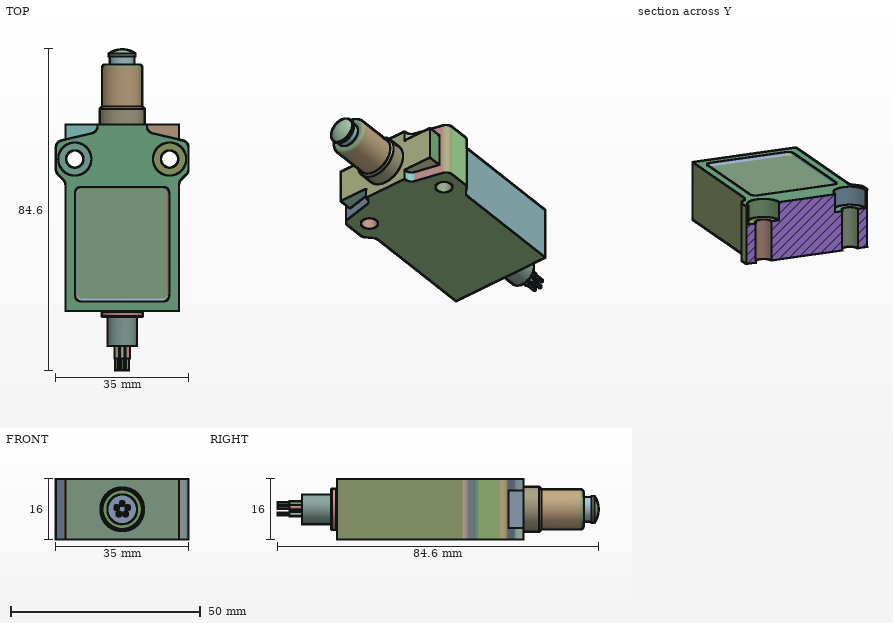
import cadquery as cq
import math

BODY_WIDTH = 29.9
BODY_LENGTH = 49.1
BODY_HEIGHT = 16.0
EAR_WIDTH = 35.0
NECK_WIDTH = 12.9
SHOULDER_HEIGHT = 9.9
SHOULDER_START = 38.1
CORNER_RADIUS = 2.0

EAR_SLOPE = math.radians(13)
EAR_SLOPE_Y = 45.2
EAR_LOWER_Y = 34.0

HOLE_SPACING = 24.95
HOLE_Y = 40.0
HOLE_DIAMETER = 4.5
COUNTERBORE_DIAMETER = 8.7
COUNTERBORE_DEPTH = 5.0

POCKET_WIDTH = 24.8
POCKET_START = 2.5
POCKET_END = 32.65
POCKET_DEPTH = 0.85
POCKET_CORNER_RADIUS = 1.5
POCKET_FLOOR_ROUND = 0.8

COLLAR_DIAMETER = 11.9
COLLAR_END = 53.8
COLLAR_CHAMFER = 0.6
BARREL_DIAMETER = 10.65
BARREL_END = 64.95
BARREL_ROUND = 0.9
STEM_DIAMETER = 6.6
HEAD_DIAMETER = 7.1
HEAD_START = 67.0
DOME_START = 67.75
PLUNGER_TIP = 68.9

RECESS_DIAMETER = 11.5
RECESS_DEPTH = 0.25
FLANGE_DIAMETER = 10.9
FLANGE_LENGTH = 1.5
FLANGE_CHAMFER = 0.25
CABLE_DIAMETER = 7.9
CABLE_LENGTH = 9.2
WIRE_COUNT = 5
WIRE_CIRCLE_RADIUS = 1.5
WIRE_DIAMETER = 1.3
WIRE_END = 12.5
CONDUCTOR_DIAMETER = 0.79
CONDUCTOR_END = 84.6 - PLUNGER_TIP


def cylinder_y(diameter, start, end, x=0, z=0):
    """Cylinder along Y between two Y positions."""
    base = cq.Workplane("XZ", origin=(x, start, z))
    return base.circle(diameter / 2).extrude(start - end)


def make_body():
    half_body = BODY_WIDTH / 2
    half_ear = EAR_WIDTH / 2
    half_neck = NECK_WIDTH / 2
    slope = math.tan(EAR_SLOPE)
    neck_corner = (half_neck, EAR_SLOPE_Y + slope * (half_body - half_neck))
    ear_top = (half_ear, EAR_SLOPE_Y - slope * (half_ear - half_body))
    ear_bottom = (half_ear, EAR_LOWER_Y + half_ear - half_body)
    ear_root = (half_body, EAR_LOWER_Y)
    rounded = [ear_root, ear_bottom, ear_top, neck_corner]
    right = [(half_body, 0)] + rounded + [(half_neck, BODY_LENGTH)]
    left = [(-x, y) for x, y in reversed(right)]

    body = (
        cq.Workplane("XY", origin=(0, 0, -BODY_HEIGHT / 2))
        .polyline(right + left).close().extrude(BODY_HEIGHT)
    )
    for x, y in rounded:
        for side in (-1, 1):
            corner = cq.selectors.NearestToPointSelector((side * x, y, 0))
            body = body.edges("|Z").edges(corner).fillet(CORNER_RADIUS)

    shoulder = cq.Workplane("XY").box(
        BODY_WIDTH, BODY_LENGTH - SHOULDER_START, SHOULDER_HEIGHT
    ).translate((0, (BODY_LENGTH + SHOULDER_START) / 2, 0))
    return body.union(shoulder)


def cut_mounting_holes(body):
    return (
        body.faces(">Z").workplane(origin=(0, HOLE_Y, 0))
        .pushPoints([(-HOLE_SPACING / 2, 0), (HOLE_SPACING / 2, 0)])
        .cboreHole(HOLE_DIAMETER, COUNTERBORE_DIAMETER, COUNTERBORE_DEPTH)
    )


def make_pocket():
    outline = (
        cq.Sketch().rect(POCKET_WIDTH, POCKET_END - POCKET_START)
        .vertices().fillet(POCKET_CORNER_RADIUS)
    )
    center_y = (POCKET_START + POCKET_END) / 2
    return (
        cq.Workplane("XY", origin=(0, center_y, BODY_HEIGHT / 2))
        .placeSketch(outline).extrude(-POCKET_DEPTH)
        .faces("<Z").edges().fillet(POCKET_FLOOR_ROUND)
    )


def make_plunger():
    collar = cylinder_y(COLLAR_DIAMETER, BODY_LENGTH, COLLAR_END)
    collar = collar.faces(">Y").chamfer(COLLAR_CHAMFER)
    barrel = cylinder_y(BARREL_DIAMETER, BODY_LENGTH, BARREL_END)
    barrel = barrel.faces(">Y").edges().fillet(BARREL_ROUND)
    stem = cylinder_y(STEM_DIAMETER, BODY_LENGTH, HEAD_START)

    head_radius = HEAD_DIAMETER / 2
    dome_height = PLUNGER_TIP - DOME_START
    dome_radius = (head_radius**2 + dome_height**2) / (2 * dome_height)
    head = (
        cq.Workplane("XY").moveTo(0, HEAD_START)
        .lineTo(head_radius, HEAD_START)
        .lineTo(head_radius, DOME_START)
        .radiusArc((0, PLUNGER_TIP), -dome_radius)
        .close().revolve(360, (0, 0, 0), (0, 1, 0))
    )
    return collar.union(barrel).union(stem).union(head)


def make_cable_outlet():
    flange = cylinder_y(FLANGE_DIAMETER, 0, -FLANGE_LENGTH)
    flange = flange.faces("<Y or >Y").chamfer(FLANGE_CHAMFER)
    seat = cylinder_y(FLANGE_DIAMETER - 2 * FLANGE_CHAMFER, RECESS_DEPTH, 0)
    outlet = flange.union(seat).union(cylinder_y(CABLE_DIAMETER, 0, -CABLE_LENGTH))
    for index in range(WIRE_COUNT):
        angle = math.pi / 2 + index * 2 * math.pi / WIRE_COUNT
        x = WIRE_CIRCLE_RADIUS * math.cos(angle)
        z = WIRE_CIRCLE_RADIUS * math.sin(angle)
        outlet = outlet.union(cylinder_y(WIRE_DIAMETER, -CABLE_LENGTH, -WIRE_END, x, z))
        outlet = outlet.union(cylinder_y(CONDUCTOR_DIAMETER, -WIRE_END, -CONDUCTOR_END, x, z))
    return outlet


body = cut_mounting_holes(make_body())
body = body.cut(make_pocket())
body = body.cut(cylinder_y(RECESS_DIAMETER, 0, RECESS_DEPTH))
result = body.union(make_plunger()).union(make_cable_outlet())